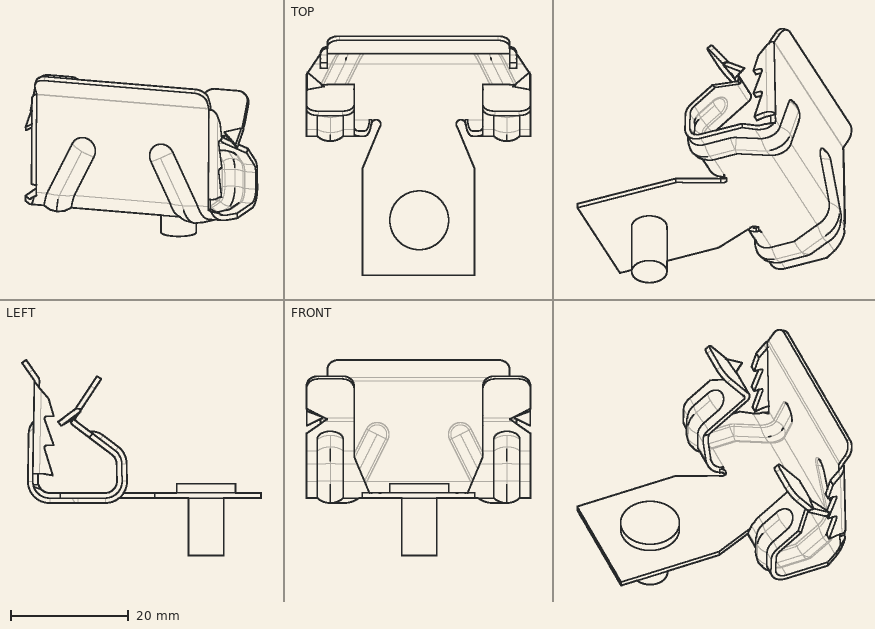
import cadquery as cq
import math


depth = 40.65
width = 38.1
half_width = width / 2
sheet = 0.9
base_bend = 1.95
lip_bend = 0.15
tab_bend = 0.4
corner_radius = 2.0

base_top = sheet
wall_foot = (37.95, base_top)
wall_head = (37.65, 20.25)
lip_angle = 35.0
arm_foot = (24.5, base_top)
arm_shoulder = (24.6, 6.8)
tab_foot = (32.95, 13.1)
tab_head = (27.9, 20.75)

lip_lean = math.radians(lip_angle)
lip_head_y = depth - sheet * math.cos(lip_lean)
lip_head = (lip_head_y, wall_head[1] + (lip_head_y - wall_head[0]) / math.tan(lip_lean))
spine = [lip_head, wall_head, wall_foot, arm_foot, arm_shoulder, tab_foot, tab_head]
spine_bends = [None, -lip_bend, base_bend, base_bend, base_bend, -tab_bend, None]

bend_line = arm_foot[0] + base_bend
bend_top = base_top + base_bend
arm_inner_x = 10.95
arm_taper_top = 7.05
arm_root_x = 7.97
wall_half = 15.5
wall_edge_foot = 2.25
base_corner = (half_width, 34.12)
wall_corner = (15.85, 38.85)
notch_low = 11.0
notch_high = 15.2
notch_tip = (15.55, 13.42)

tongue_half = 9.55
taper_start = 18.1
slot_radius = 0.77
slot_x = 7.2
slot_y = bend_line - slot_radius

flange_outer = 16.67
flange_top = 19.85
flange_foot = 4.1
flange_bend = 1.15
flange_shoulder = (37.5, 18.5)
flange_lead_in = (36.1, 16.9)
lowest_tooth = (35.4, 3.82)
tooth_tip_y = 35.2
tooth_root_y = 36.95
tooth_levels = (13.9, 8.95)
root_radius = 0.4

claw_fold_outer = (-18.9, 31.15, 15.5)
claw_fold_inner = (-16.02, 32.1, 14.4)
claw_tip = (-18.9, 34.53, 12.97)

rib_half = 2.2
rib_height = 0.85
rib_radius = (rib_half**2 + rib_height**2) / (2 * rib_height)
rib_mouth = 0.7
mouth_flare = 10.0
rib_slant = 0.5
rib_top = (-7.08, 10.85)
rib_arm_x = -15.0
bend_steps = 6
rib_arm_end_z = 9.3

stud_x = 0.12
stud_y = 9.35
head_diameter = 10.0
head_height = 1.55
shank_diameter = 6.0
shank_end = -9.75

reach = 81.35


def unit(a, b):
    length = math.dist(a, b)
    return ((b[0] - a[0]) / length, (b[1] - a[1]) / length)


def outward(a, b):
    """Direction from the inside face to the outside face along the run a to b."""
    run = unit(a, b)
    return (-run[1], run[0])


def shifted(point, direction, distance):
    return (point[0] + direction[0] * distance, point[1] + direction[1] * distance)


def outer_corner(before, corner, after):
    """Mitred corner of the outside face."""
    n1 = outward(before, corner)
    n2 = outward(corner, after)
    scale = sheet / (1 + n1[0] * n2[0] + n1[1] * n2[1])
    return (corner[0] + (n1[0] + n2[0]) * scale, corner[1] + (n1[1] + n2[1]) * scale)


def bend_arc(before, corner, after, radius):
    """Start, middle, end and centre of the arc that rounds a corner."""
    back = unit(corner, before)
    ahead = unit(corner, after)
    half_angle = math.acos(back[0] * ahead[0] + back[1] * ahead[1]) / 2
    start = shifted(corner, back, radius / math.tan(half_angle))
    end = shifted(corner, ahead, radius / math.tan(half_angle))
    middle_way = unit((0, 0), (back[0] + ahead[0], back[1] + ahead[1]))
    centre = shifted(corner, middle_way, radius / math.sin(half_angle))
    return start, shifted(centre, middle_way, -radius), end, centre


def draw_face(outline, corners, radii):
    """Continue an outline along one face of the strip, rounding each inner corner."""
    for i in range(1, len(corners) - 1):
        start, middle, end, _ = bend_arc(corners[i - 1], corners[i], corners[i + 1], radii[i])
        outline = outline.lineTo(*start).threePointArc(middle, end)
    return outline.lineTo(*corners[-1])


def bent_strip():
    """Lip, wall, base, arm and tab as one strip of full width."""
    outer = [shifted(spine[0], outward(spine[0], spine[1]), sheet)]
    for before, corner, after in zip(spine, spine[1:], spine[2:]):
        outer.append(outer_corner(before, corner, after))
    outer.append(shifted(spine[-1], outward(spine[-2], spine[-1]), sheet))

    inner_radii = [r and (r if r > 0 else sheet - r) for r in spine_bends]
    outer_radii = [r and (r + sheet if r > 0 else -r) for r in spine_bends]
    outline = cq.Workplane("YZ").moveTo(*spine[0])
    outline = draw_face(outline, spine, inner_radii).lineTo(*outer[-1])
    outline = draw_face(outline, outer[::-1], outer_radii[::-1]).close()
    return outline.extrude(half_width, both=True)


def point_at_height(a, b, z):
    return (a[0] + (b[0] - a[0]) * (z - a[1]) / (b[1] - a[1]), z)


def thick_polygon(corners, offset):
    """Flat polygon of points in space, thickened along a vector."""
    face = cq.Face.makeFromWires(cq.Wire.makePolygon([cq.Vector(c) for c in corners], close=True))
    return cq.Workplane(cq.Solid.extrudeLinear(face, offset))


def both_sides(left):
    return left.union(left.mirror("YZ"))


def front_cutter(points, y_from, y_to):
    """Prism along Y from (x, z) points."""
    return (
        cq.Workplane("XZ", origin=(0, y_from, 0)).polyline(points).close().extrude(y_from - y_to)
    )


def arm_gap():
    """Opening between the two arms."""
    lower = [
        (-arm_inner_x, reach),
        (-arm_inner_x, arm_taper_top),
        (-arm_root_x, 0),
        (-arm_root_x, -sheet),
        (arm_root_x, -sheet),
        (arm_root_x, 0),
        (arm_inner_x, arm_taper_top),
        (arm_inner_x, reach),
    ]
    upper = [
        (-arm_inner_x, reach),
        (-arm_inner_x, arm_taper_top),
        (arm_inner_x, arm_taper_top),
        (arm_inner_x, reach),
    ]
    beyond_tabs = tab_foot[0] + sheet
    return front_cutter(lower, 0, bend_line + sheet / 2).union(front_cutter(upper, 0, beyond_tabs))


def side_notches():
    """Left and right notches between each arm and its tab, the arm side cut square to the sheet."""
    share = tab_bend / (notch_tip[1] - notch_low)
    bend_x = notch_tip[0] + share * (half_width - notch_tip[0])
    bend_z = notch_tip[1] - tab_bend
    tab_side = [
        (-half_width, bend_z),
        (-bend_x, bend_z),
        (-notch_tip[0], notch_tip[1]),
        (-half_width, notch_high),
    ]
    out = outward(arm_shoulder, tab_foot)
    foot = shifted(arm_shoulder, out, sheet)
    head = shifted(tab_foot, out, sheet)
    low = point_at_height(foot, head, notch_low)
    high = point_at_height(foot, head, notch_tip[1])
    beyond = shifted(high, unit(foot, head), 2 * sheet)
    arm_side = [
        (-half_width, *low),
        (-notch_tip[0], *high),
        (-notch_tip[0], *beyond),
        (-half_width, *beyond),
    ]
    arm_cutter = thick_polygon(arm_side, cq.Vector(0, *out) * -sheet)
    return both_sides(front_cutter(tab_side, 0, tab_foot[0] + sheet).union(arm_cutter))


def wall_trims():
    """Cut the wall and lip to width and slant the rear corners of the base."""
    wall = [
        (-wall_half, wall_edge_foot),
        (-wall_half, reach),
        (-half_width, reach),
        (-half_width, base_top),
        (-wall_corner[0] - base_bend, base_top),
    ]
    corner = (
        cq.Workplane("XY", origin=(0, 0, -sheet))
        .polyline([
            (-base_corner[0], base_corner[1]),
            (-wall_corner[0], wall_corner[1]),
            (-half_width, wall_corner[1]),
        ])
        .close()
        .extrude(bend_top + 2 * sheet)
    )
    return both_sides(front_cutter(wall, tab_foot[0] + 2 * sheet, reach).union(corner))


def round_corners(strip):
    """Round the free corners of the lip and the tabs."""
    lip_middle = shifted(lip_head, outward(lip_head, wall_head), sheet / 2)
    tab_middle = shifted(tab_head, outward(tab_foot, tab_head), sheet / 2)
    corners = [(x, *lip_middle) for x in (-wall_half, wall_half)]
    for x in (arm_inner_x, half_width):
        corners += [(-x, *tab_middle), (x, *tab_middle)]
    for corner in corners:
        strip = strip.edges(cq.NearestToPointSelector(corner)).fillet(corner_radius)
    return strip


def tongue():
    """Flat tongue with a rounded relief beside each arm root."""
    neck = slot_x - slot_radius
    overlap = bend_line + sheet
    overlap_x = arm_root_x + sheet / 2
    left = [
        (0, 0),
        (-tongue_half, 0),
        (-tongue_half, taper_start),
        (-neck, slot_y),
        (-arm_root_x, slot_y),
        (-arm_root_x, bend_line),
        (-overlap_x, bend_line),
        (-overlap_x, overlap),
        (0, overlap),
    ]
    plate = both_sides(cq.Workplane("XY").polyline(left).close().extrude(sheet))
    reliefs = (
        cq.Workplane("XY").pushPoints([(-slot_x, slot_y), (slot_x, slot_y)])
        .circle(slot_radius).extrude(sheet)
    )
    return plate.cut(reliefs)


def flange():
    """Left flange folded forward from the wall edge, with saw teeth."""
    wall_back_top = wall_head[0] + sheet
    wall_back_foot = wall_foot[0] + sheet
    outline = [
        (wall_back_top, flange_top),
        flange_shoulder,
        flange_lead_in,
        (tooth_tip_y, tooth_levels[0]),
        (tooth_root_y, tooth_levels[0]),
        (tooth_tip_y, tooth_levels[1]),
        (tooth_root_y, tooth_levels[1]),
        lowest_tooth,
        (tooth_root_y, flange_foot),
        (wall_back_foot, flange_foot),
    ]
    plate = (
        cq.Workplane("YZ", origin=(-flange_outer, 0, 0))
        .polyline(outline).close().extrude(flange_outer - wall_half)
    )
    middle_x = -(flange_outer + wall_half) / 2
    for level in tooth_levels:
        root = cq.NearestToPointSelector((middle_x, tooth_root_y, level))
        plate = plate.edges(root).fillet(root_radius)
    fold = cq.NearestToPointSelector((-flange_outer, wall_back_foot, (flange_top + flange_foot) / 2))
    return plate.edges(fold).fillet(flange_bend)


def claw():
    """Left lower corner of the tab, folded back to a point."""
    outer, inner, tip = (cq.Vector(p) for p in (claw_fold_outer, claw_fold_inner, claw_tip))
    normal = (inner - outer).cross(tip - outer).normalized()
    return thick_polygon([outer, inner, tip], normal * -sheet)


def bulge_half():
    """Outer half section: an arc from the crown to the middle of the sheet."""
    crown = sheet + rib_height
    floor = sheet / 2
    half_angle = math.acos((floor - crown) / rib_radius + 1) / 2
    middle = (rib_radius * math.sin(half_angle), crown - rib_radius * (1 - math.cos(half_angle)))
    end = (rib_radius * math.sin(2 * half_angle), floor)
    return (0, crown), [(middle, end)], (end[0], sheet / 4)


def groove_half():
    """Inner half section: an arc parallel to the bulge with a rounded, flared mouth."""
    centre_v = sheet + rib_height - rib_radius
    radius = rib_radius - sheet
    mouth_u = math.sqrt((radius + rib_mouth) ** 2 - (rib_mouth - centre_v) ** 2)
    lean = math.atan2(mouth_u, rib_mouth - centre_v)
    flare = math.radians(mouth_flare)

    def on_groove(angle):
        return (radius * math.sin(angle), centre_v + radius * math.cos(angle))

    def on_mouth(angle):
        return (mouth_u - rib_mouth * math.sin(angle), rib_mouth - rib_mouth * math.cos(angle))

    clearance = sheet / 10
    rim = on_mouth(flare)
    arcs = [(on_groove(lean / 2), on_groove(lean)), (on_mouth((lean + flare) / 2), rim)]
    return (0, centre_v + radius), arcs, (rim[0] + (rim[1] + clearance) / math.tan(flare), -clearance)


def section_wire(half):
    """Closed symmetric section."""
    crown, arcs, floor = half
    outline = cq.Workplane("XY").moveTo(*crown)
    for middle, end in arcs:
        outline = outline.threePointArc(middle, end)
    outline = outline.lineTo(*floor).lineTo(-floor[0], floor[1])
    starts = [crown] + [end for _, end in arcs]
    outline = outline.lineTo(-starts[-1][0], starts[-1][1])
    for (middle, _), start in zip(arcs[::-1], starts[-2::-1]):
        outline = outline.threePointArc((-middle[0], middle[1]), (-start[0], start[1]))
    return outline.wire().val()


def round_end(half, station):
    """Section turned about its middle line, closing a rib end or a change of direction."""
    crown, arcs, floor = half
    point, across, out = station
    outline = cq.Workplane(cq.Plane(point, across, across.cross(out))).moveTo(*crown)
    for middle, end in arcs:
        outline = outline.threePointArc(middle, end)
    outline = outline.lineTo(*floor).lineTo(0, floor[1]).close()
    return outline.revolve(360, (0, 0, 0), (0, 1, 0))


def placed_section(wire, station):
    """Section moved to a station, stretched sideways where the station is wider."""
    point, across, out = station
    axes = (across, out, across.cross(out), point)
    rows = zip(*(axis.toTuple() for axis in axes))
    return wire.transformGeometry(cq.Matrix([list(row) for row in rows]))


def square_station(x, point, run, slant):
    """Section square to the rib on a flat stretch."""
    out = cq.Vector(0, *outward((0, 0), run))
    along = cq.Vector(-slant, *run).normalized()
    return cq.Vector(x, *point), out.cross(along) * -1, out


def bend_stations(x_start, before, corner, after, slant):
    """Sections fanned round a bend, each spanning straight across in X."""
    start, _, end, centre = bend_arc(before, corner, after, base_bend)
    first = math.atan2(start[1] - centre[1], start[0] - centre[0])
    sweep = math.atan2(end[1] - centre[1], end[0] - centre[0]) - first
    sweep = -((-sweep) % (2 * math.pi))
    across = cq.Vector(math.hypot(1, slant), 0, 0)
    stations = []
    for i in range(bend_steps + 1):
        turned = sweep * i / bend_steps
        radial = (math.cos(first + turned), math.sin(first + turned))
        point = shifted(centre, radial, base_bend)
        x = x_start - slant * base_bend * abs(turned)
        stations.append((cq.Vector(x, *point), across, cq.Vector(0, *radial)))
    return stations


def rib_runs():
    """Left rib as stretches of stations, each (point, across, outward).

    They run down the wall, round the rear bend, along the base and up the arm.
    Also gives the stations that need a round end: both rib ends and the turn on the base.
    """
    wall_run = unit(wall_head, wall_foot)
    base_run = unit(wall_foot, arm_foot)
    slope_run = unit(arm_shoulder, tab_foot)

    wall_point = point_at_height(wall_head, wall_foot, rib_top[1])
    wall_end = square_station(rib_top[0], wall_point, wall_run, rib_slant)
    rear_start = bend_arc(wall_head, wall_foot, arm_foot, base_bend)[0]
    rear_x = rib_top[0] - rib_slant * math.dist(wall_point, rear_start)
    rear = bend_stations(rear_x, wall_head, wall_foot, arm_foot, rib_slant)

    rear_finish = rear[-1][0]
    turn_y = rear_finish.y - (rear_finish.x - rib_arm_x) / rib_slant
    turn_slanted = square_station(rib_arm_x, (turn_y, base_top), base_run, rib_slant)
    turn_straight = square_station(rib_arm_x, (turn_y, base_top), base_run, 0)

    front = bend_stations(rib_arm_x, wall_foot, arm_foot, arm_shoulder, 0)
    upper = bend_stations(rib_arm_x, arm_foot, arm_shoulder, tab_foot, 0)
    arm_point = point_at_height(arm_shoulder, tab_foot, rib_arm_end_z)
    arm_end = square_station(rib_arm_x, arm_point, slope_run, 0)
    runs = [
        [wall_end, rear[0]],
        rear,
        [rear[-1], turn_slanted],
        [turn_straight, front[0]],
        front,
        [front[-1], upper[0]],
        upper,
        [upper[-1], arm_end],
    ]
    return runs, [wall_end, turn_straight, arm_end]


def rib_solid(half):
    """One rib with the given half section along its whole path."""
    runs, rounded = rib_runs()
    wire = section_wire(half)
    pieces = []
    for run in runs:
        is_flat = len(run) == 2
        stretch = cq.Solid.makeLoft([placed_section(wire, station) for station in run], is_flat)
        pieces.append(cq.Workplane(stretch))
    pieces += [round_end(half, station) for station in rounded]
    solid = pieces[0]
    for piece in pieces[1:]:
        solid = solid.union(piece)
    return solid


def make_stud():
    head = (
        cq.Workplane("XY", origin=(stud_x, stud_y, base_top))
        .circle(head_diameter / 2).extrude(head_height)
    )
    shank = (
        cq.Workplane("XY", origin=(stud_x, stud_y, shank_end))
        .circle(shank_diameter / 2).extrude(base_top - shank_end)
    )
    return head.union(shank)


def make_clip(stud):
    strip = bent_strip().cut(arm_gap()).cut(side_notches()).cut(wall_trims())
    clip = round_corners(strip).union(tongue())
    for left_part in (flange(), claw(), rib_solid(bulge_half())):
        clip = clip.union(both_sides(left_part))
    return clip.cut(both_sides(rib_solid(groove_half()))).cut(stud)


stud = make_stud()
clip = make_clip(stud)
result = cq.Compound.makeCompound([clip.val(), stud.val()])